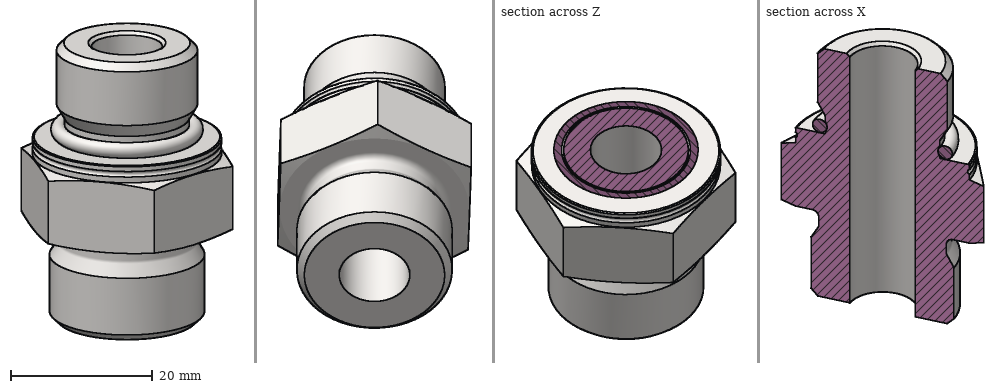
import cadquery as cq
import math

total_length = 41.0
hex_across_flats = 26.98
collar_radius = 26.8 / 2
bore_radius = 10.0 / 2
bore_chamfer = 0.5

lower_stud_radius = 22.0 / 2
lower_stud_chamfer = 1.05
lower_stud_top = 9.5
lower_neck_radius = 19.7 / 2
lower_neck_fillet = 1.0
lower_runout_blend = 0.75

hex_bottom = 14.02
hex_top = 24.5
hex_chamfer_angle = 15.0

collar_top = 27.0
collar_edge_width = 0.25
collar_edge_height = 0.12
collar_groove_bottom = 25.38
collar_groove_top = 26.2
collar_groove_depth = 0.3

upper_stud_radius = 20.0 / 2
upper_stud_chamfer = 1.05
upper_stud_bottom = 31.95
upper_neck_radius = 17.7 / 2
runout_angle = math.radians(30)

ring_outer_radius = 10.8
ring_section_radius = 1.1


def make_turned_body():
    """Revolve the round outline of the fitting, from the lower stud to the upper stud."""
    lower_neck_bottom = lower_stud_top + (lower_stud_radius - lower_neck_radius) / math.tan(runout_angle)
    upper_neck_top = upper_stud_bottom - (upper_stud_radius - upper_neck_radius) / math.tan(runout_angle)
    blend_tangent = lower_runout_blend * math.tan(runout_angle / 2)
    blend_start = (
        lower_neck_radius + blend_tangent * math.sin(runout_angle),
        lower_neck_bottom - blend_tangent * math.cos(runout_angle),
    )
    blend_end = (lower_neck_radius, lower_neck_bottom + blend_tangent)
    fillet_end_radius = lower_neck_radius + lower_neck_fillet
    fillet_mid = lower_neck_fillet * (1 - math.sqrt(0.5))
    groove_middle = (collar_groove_bottom + collar_groove_top) / 2
    outline = (
        cq.Workplane("XZ")
        .lineTo(lower_stud_radius - lower_stud_chamfer, 0)
        .lineTo(lower_stud_radius, lower_stud_chamfer)
        .lineTo(lower_stud_radius, lower_stud_top)
        .lineTo(*blend_start)
        .tangentArcPoint(blend_end, relative=False)
        .lineTo(lower_neck_radius, hex_bottom - lower_neck_fillet)
        .threePointArc(
            (lower_neck_radius + fillet_mid, hex_bottom - fillet_mid),
            (fillet_end_radius, hex_bottom),
        )
        .lineTo(collar_radius, hex_bottom)
        .lineTo(collar_radius, collar_groove_bottom)
        .threePointArc(
            (collar_radius - collar_groove_depth, groove_middle),
            (collar_radius, collar_groove_top),
        )
        .lineTo(collar_radius, collar_top - collar_edge_height)
        .lineTo(collar_radius - collar_edge_width, collar_top)
        .lineTo(upper_neck_radius, collar_top)
        .lineTo(upper_neck_radius, upper_neck_top)
        .lineTo(upper_stud_radius, upper_stud_bottom)
        .lineTo(upper_stud_radius, total_length - upper_stud_chamfer)
        .lineTo(upper_stud_radius - upper_stud_chamfer, total_length)
        .lineTo(0, total_length)
        .close()
    )
    return outline.revolve(360, (0, 0, 0), (0, 1, 0))


def make_hexagon():
    """Hexagon with flats facing +X and -X, its corners trimmed by a cone at each end."""
    corner_radius = hex_across_flats / math.sqrt(3)
    corner_drop = (corner_radius - collar_radius) * math.tan(math.radians(hex_chamfer_angle))
    prism = (
        cq.Workplane("XY", origin=(0, 0, hex_bottom))
        .polygon(6, 2 * corner_radius)
        .extrude(hex_top - hex_bottom)
        .rotate((0, 0, 0), (0, 0, 1), 30)
    )
    trimming_cones = (
        cq.Workplane("XZ")
        .moveTo(0, hex_bottom)
        .lineTo(collar_radius, hex_bottom)
        .lineTo(corner_radius, hex_bottom + corner_drop)
        .lineTo(corner_radius, hex_top - corner_drop)
        .lineTo(collar_radius, hex_top)
        .lineTo(0, hex_top)
        .close()
        .revolve(360, (0, 0, 0), (0, 1, 0))
    )
    return prism.intersect(trimming_cones)


def make_bore():
    """Through bore with a chamfered mouth at the upper end."""
    return (
        cq.Workplane("XZ")
        .lineTo(bore_radius, 0)
        .lineTo(bore_radius, total_length - bore_chamfer)
        .lineTo(bore_radius + bore_chamfer, total_length)
        .lineTo(0, total_length)
        .close()
        .revolve(360, (0, 0, 0), (0, 1, 0))
    )


def make_sealing_ring():
    """O-ring of round section."""
    center_radius = ring_outer_radius - ring_section_radius
    return (
        cq.Workplane("XZ")
        .moveTo(center_radius, collar_top + ring_section_radius)
        .circle(ring_section_radius)
        .revolve(360, (0, 0, 0), (0, 1, 0))
    )


sealing_ring = make_sealing_ring()
fitting = make_turned_body().union(make_hexagon()).cut(make_bore()).cut(sealing_ring)

result = cq.Compound.makeCompound([fitting.val(), sealing_ring.val()])